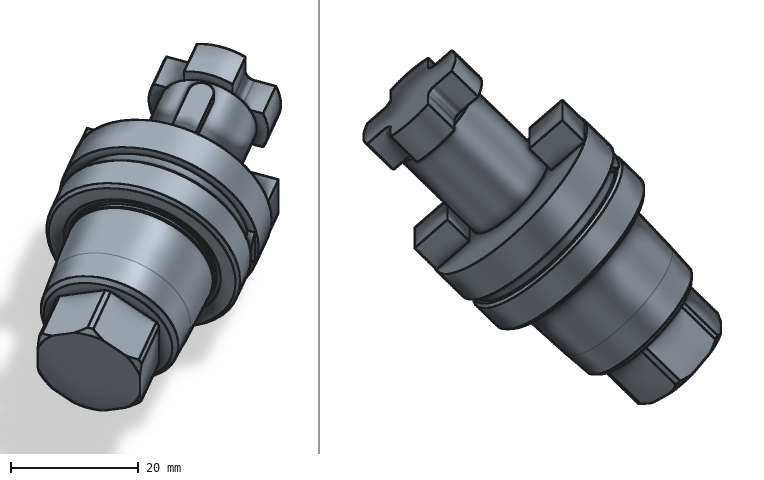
import cadquery as cq

TOTAL_LENGTH = 62.0

HEX_LENGTH = 9.0
HEX_ACROSS_FLATS = 17.0
HEX_TURNED_RADIUS = 9.55
HEX_CHAMFER = 0.8

NOSE_FRONT_RADIUS = 11.4
NOSE_REAR_RADIUS = 12.1
NOSE_CHAMFER = 0.75
TAPER_BREAK_Y = 14.5
TAPER_BREAK_RADIUS = 11.7
TAPER_END_Y = 24.0
NECK_FRONT_Y = 24.35
NECK_RADIUS = 11.95

COLLAR_FRONT_Y = 25.0
COLLAR_REAR_Y = 31.0
COLLAR_RADIUS = 16.05
COLLAR_FRONT_CHAMFER = 0.55
COLLAR_REAR_CHAMFER = 0.5
UNDERCUT_OUTER_RADIUS = 13.0
UNDERCUT_BOTTOM_RADIUS = 12.3
UNDERCUT_DEPTH = 0.25

GROOVE_RADIUS = 15.0
FLANGE_FRONT_Y = 33.0
FLANGE_REAR_Y = 39.0
FLANGE_RADIUS = 16.5

SHAFT_RADIUS = 8.0
HEAD_THICKNESS = 6.0
HEAD_FRONT_Y = TOTAL_LENGTH - HEAD_THICKNESS
HEAD_RADIUS = 9.9
HEAD_ARM_WIDTH = 8.05
HEAD_CORNER_FILLET = 1.5

KEY_WIDTH = 4.0
KEY_FRONT_Y = 40.5
KEY_LENGTH = 14.0
KEY_TOP_Z = 9.35

LUG_WIDTH = 8.0
LUG_INNER_X = 8.8
LUG_OUTER_X = 15.9
LUG_FRONT_Y = 31.05
LUG_REAR_Y = 44.0


def cylinder_along_y(radius, y_start, y_end):
    return cq.Workplane("XZ", origin=(0, y_start, 0)).circle(radius).extrude(y_start - y_end)


def turned_body():
    """Nose, collar, groove, flange and shaft as one revolved (radius, Y) outline."""
    outline = [
        (0, HEX_LENGTH),
        (NOSE_FRONT_RADIUS - NOSE_CHAMFER, HEX_LENGTH),
        (NOSE_FRONT_RADIUS, HEX_LENGTH + NOSE_CHAMFER),
        (TAPER_BREAK_RADIUS, TAPER_BREAK_Y),
        (NOSE_REAR_RADIUS, TAPER_END_Y),
        (NECK_RADIUS, NECK_FRONT_Y),
        (NECK_RADIUS, COLLAR_FRONT_Y),
        (UNDERCUT_BOTTOM_RADIUS, COLLAR_FRONT_Y + UNDERCUT_DEPTH),
        (UNDERCUT_OUTER_RADIUS, COLLAR_FRONT_Y),
        (COLLAR_RADIUS - COLLAR_FRONT_CHAMFER, COLLAR_FRONT_Y),
        (COLLAR_RADIUS, COLLAR_FRONT_Y + COLLAR_FRONT_CHAMFER),
        (COLLAR_RADIUS, COLLAR_REAR_Y - COLLAR_REAR_CHAMFER),
        (COLLAR_RADIUS - COLLAR_REAR_CHAMFER, COLLAR_REAR_Y),
        (GROOVE_RADIUS, COLLAR_REAR_Y),
        (GROOVE_RADIUS, FLANGE_FRONT_Y),
        (FLANGE_RADIUS, FLANGE_FRONT_Y),
        (FLANGE_RADIUS, FLANGE_REAR_Y),
        (SHAFT_RADIUS, FLANGE_REAR_Y),
        (SHAFT_RADIUS, HEAD_FRONT_Y),
        (0, HEAD_FRONT_Y),
    ]
    return cq.Workplane("XY").polyline(outline).close().revolve(360, (0, 0, 0), (0, 1, 0))


def hexagon_drive():
    """Hexagon with flats facing +X and -X, its corners turned down and chamfered at the front."""
    hexagon = (
        cq.Workplane("XZ")
        .polygon(6, HEX_ACROSS_FLATS, circumscribed=True)
        .extrude(-HEX_LENGTH)
    )
    turned_blank = cylinder_along_y(HEX_TURNED_RADIUS, 0, HEX_LENGTH).faces("<Y").chamfer(HEX_CHAMFER)
    return hexagon.intersect(turned_blank)


def cross_head():
    """Round head with four corners cut away, leaving a cross with filleted inner corners."""
    bar_length = 2 * HEAD_RADIUS
    bar_x = cq.Workplane("XY").box(bar_length, HEAD_THICKNESS, HEAD_ARM_WIDTH)
    bar_z = cq.Workplane("XY").box(HEAD_ARM_WIDTH, HEAD_THICKNESS, bar_length)
    inner_corners = cq.selectors.BoxSelector(
        (-HEAD_ARM_WIDTH, -HEAD_THICKNESS, -HEAD_ARM_WIDTH),
        (HEAD_ARM_WIDTH, HEAD_THICKNESS, HEAD_ARM_WIDTH),
    )
    cross = bar_x.union(bar_z).edges("|Y").edges(inner_corners).fillet(HEAD_CORNER_FILLET)
    cross = cross.translate((0, HEAD_FRONT_Y + HEAD_THICKNESS / 2, 0))
    return cross.intersect(cylinder_along_y(HEAD_RADIUS, HEAD_FRONT_Y, TOTAL_LENGTH))


def feather_key():
    return (
        cq.Workplane("XY", origin=(0, KEY_FRONT_Y + KEY_LENGTH / 2, 0))
        .slot2D(KEY_LENGTH, KEY_WIDTH, angle=90)
        .extrude(KEY_TOP_Z)
    )


def driving_lug(side):
    """Lug on the +X (side=1) or -X (side=-1) side: a half-round front end and a square rear end."""
    half_width = LUG_WIDTH / 2
    round_centre_y = LUG_FRONT_Y + half_width
    return (
        cq.Workplane("YZ", origin=(side * LUG_INNER_X, 0, 0))
        .moveTo(LUG_REAR_Y, -half_width)
        .lineTo(LUG_REAR_Y, half_width)
        .lineTo(round_centre_y, half_width)
        .threePointArc((LUG_FRONT_Y, 0), (round_centre_y, -half_width))
        .close()
        .extrude(side * (LUG_OUTER_X - LUG_INNER_X))
    )


result = turned_body().union(hexagon_drive()).union(cross_head()).union(feather_key())
for lug_side in (1, -1):
    result = result.union(driving_lug(lug_side))